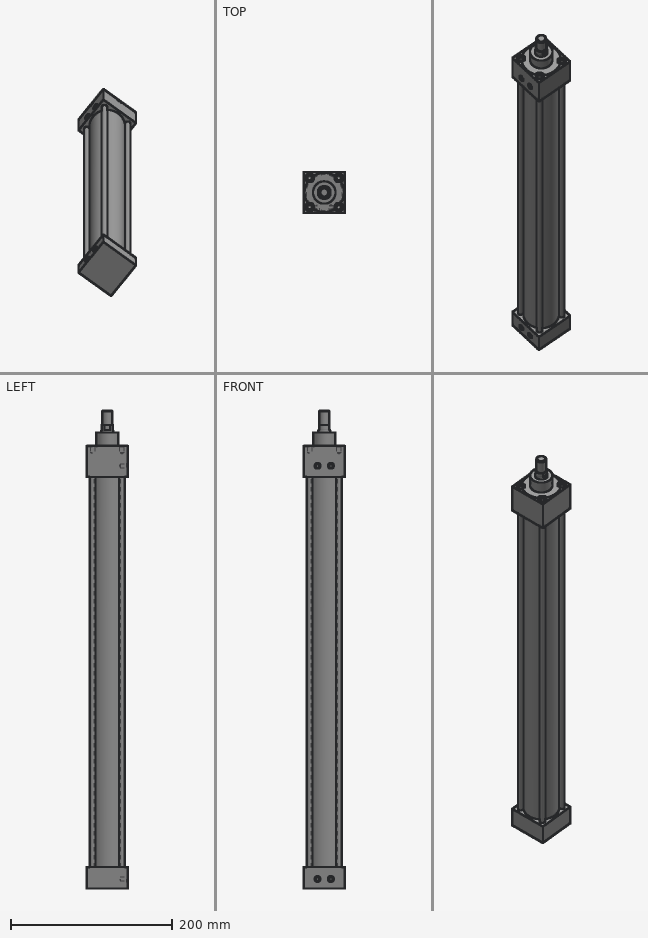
import cadquery as cq

block_side = 51.0
base_height = 27.0
head_height = 39.0
total_height = 594.0

neck_diameter = 28.0
neck_height = 16.0

foot_diameter = 16.0
foot_height = 3.0
shank_diameter = 14.0
shank_height = 6.0
flats_width = 12.5
stud_diameter = 12.5
stud_height = 18.5
stud_chamfer = 1.0

neck_top = total_height - stud_height - shank_height - foot_height
head_top = neck_top - neck_height
head_bottom = head_top - head_height
barrel_length = head_bottom - base_height

corner_spacing = 36.0

tube_diameter = 44.5
tie_rod_diameter = 7.0

socket_diameter = 10.5
socket_depth = 2.5
corner_bore_diameter = 6.0
corner_bore_depth = 9.0

drill_tip_ratio = 0.3

land_diameter = 48.5
land_height = 0.5

port_diameter = 7.0
port_depth = 2.0
port_bore_diameter = 5.0
port_bore_depth = 9.0
port_offset = 8.5
base_port_height = 12.0
head_port_height = head_bottom + 13.5


def corner_points():
    offset = corner_spacing / 2
    return [(x, y) for x in (-offset, offset) for y in (-offset, offset)]


def level(z):
    return cq.Workplane("XY").workplane(offset=z)


def cylinder(diameter, height, bottom):
    return level(bottom).circle(diameter / 2).extrude(height)


def block(height, bottom):
    return level(bottom).rect(block_side, block_side).extrude(height)


def make_head():
    land = cylinder(land_diameter, land_height, head_top - land_height)
    head = block(head_height - land_height, head_bottom).union(land)
    return head.union(cylinder(neck_diameter, neck_height, head_top))


def make_tie_rods():
    return level(base_height).pushPoints(corner_points()).circle(tie_rod_diameter / 2).extrude(barrel_length)


def stepped_hole(wide_diameter, wide_depth, bore_diameter, bore_depth):
    """Hole entering at the origin and going down, with a conical bottom."""
    tip_depth = bore_depth + drill_tip_ratio * bore_diameter
    outline = [
        (0, 0),
        (wide_diameter / 2, 0),
        (wide_diameter / 2, -wide_depth),
        (bore_diameter / 2, -wide_depth),
        (bore_diameter / 2, -bore_depth),
        (0, -tip_depth),
    ]
    return cq.Workplane("XZ").polyline(outline).close().revolve(360, (0, 0), (0, 1))


def cut_corner_holes(body):
    hole = stepped_hole(socket_diameter, socket_depth, corner_bore_diameter, corner_bore_depth)
    for x, y in corner_points():
        body = body.cut(hole.translate((x, y, head_top)))
    return body


def cut_ports(body):
    hole = stepped_hole(port_diameter, port_depth, port_bore_diameter, port_bore_depth)
    port = hole.rotate((0, 0, 0), (1, 0, 0), 90)
    for x in (-port_offset, port_offset):
        for z in (base_port_height, head_port_height):
            body = body.cut(port.translate((x, -block_side / 2, z)))
    return body


def make_housing():
    body = block(base_height, 0)
    body = body.union(cylinder(tube_diameter, barrel_length, base_height))
    body = body.union(make_tie_rods())
    body = body.union(make_head())
    return cut_ports(cut_corner_holes(body))


def make_rod():
    foot = level(neck_top).circle(foot_diameter / 2).workplane(offset=foot_height)
    foot = foot.circle(shank_diameter / 2).loft(ruled=True)
    shank_bottom = neck_top + foot_height
    shank = cylinder(shank_diameter, shank_height, shank_bottom)
    slab = level(shank_bottom).rect(flats_width, shank_diameter).extrude(shank_height)
    stud = cylinder(stud_diameter, stud_height, shank_bottom + shank_height)
    stud = stud.faces(">Z").chamfer(stud_chamfer)
    return foot.union(shank.intersect(slab)).union(stud)


housing = make_housing()
rod = make_rod()
result = cq.Compound.makeCompound([housing.val(), rod.val()])